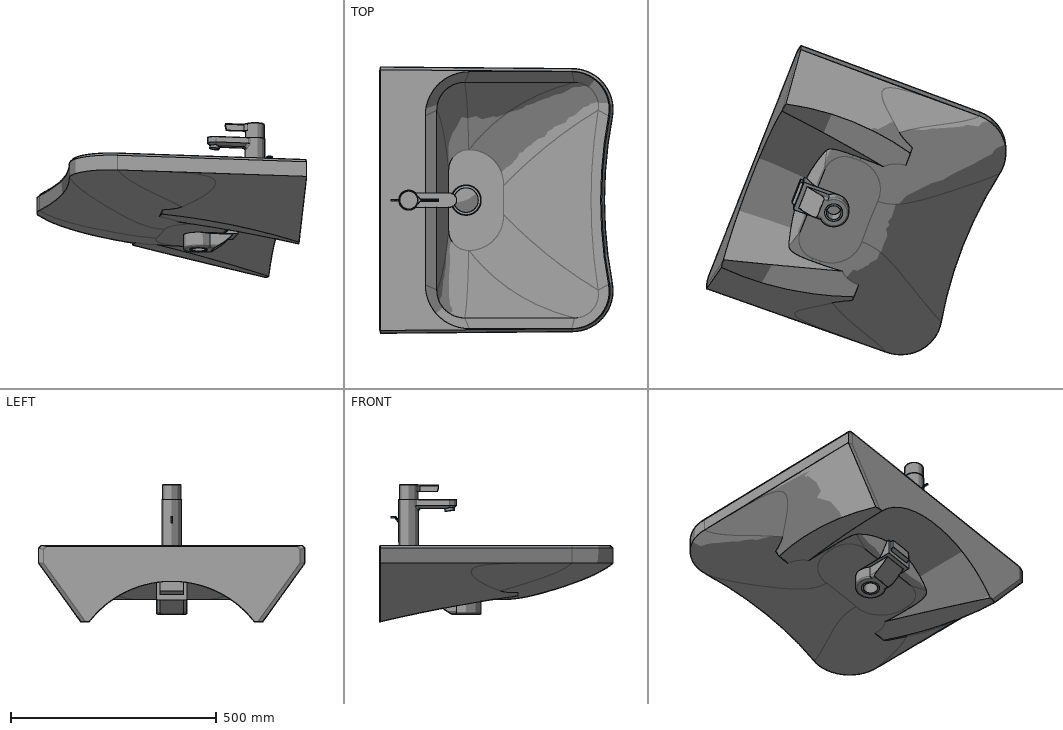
import cadquery as cq
import math


width = 649.5
depth = 570.0
front_dip = 21.0
side_taper = 4.0
front_corner_radius = 100.0
slab_height = 43.5
top_edge_bevel = 7.0
wall_edge_setback = 2.5
wall_edge_inset = 12.5

wall_drop = 186.5
foot_half_width = 222.0
arch_radius = 254.5
arch_top_z = -88.0
skirt_middle_x = 178.0
skirt_middle_drop = 149.5
skirt_middle_half_width = 227.5
skirt_end_x = 338.0
skirt_end_drop = 123.5
skirt_end_half_width = 195.0

rim_drop = 17.5
bowl_depth = 119.0
bowl_mid_depth = 65.0

drain_x = 211.0
outlet_diameter = 74.0
outlet_bottom_z = -168.0
outlet_edge_round = 4.0
waste_flange_diameter = 71.5
waste_flange_height = 5.0
waste_tube_diameter = 44.0
waste_bore_diameter = 35.0
plug_diameter = 60.0
plug_edge_height = 2.5
plug_dome_height = 5.0
dish_depth = 2.5
flange_top_z = -bowl_depth - dish_depth

duct_width = 58.5
duct_back_x = 114.0
duct_curve_z = -111.0
duct_foot_x = 177.5
duct_top_z = -84.5
duct_bulge = 4.0
duct_edge_round = 6.5
outlet_block_back_x = 120.0
outlet_block_bottom_z = -133.0

tap_x = 71.5
tap_diameter = 49.0
tap_height = 111.0
head_diameter = 46.0
tap_top_z = 148.0
head_edge_chamfer = 1.0

spout_width = 35.0
spout_tip_x = 188.5
spout_bottom_z = 89.5
spout_bottom_chamfer = 8.0
spout_root_round = 6.5

aerator_diameter = 23.5
aerator_tilt = 8.0
aerator_drop = 6.0
aerator_seat_depth = 6.5

lever_tip_x = 144.0
lever_width = 6.5
lever_height = 17.0
lever_top_z = 147.5
lever_root_half_width = 12.0
lever_root_length = 8.0
lever_top_chamfer = 2.5
lever_tip_setback = 10.0
lever_tip_height = 2.5

rod_diameter = 4.0
rod_tip_x = 28.0
rod_bend_x = 39.0
rod_z = 68.0
rod_end_x = 52.0
rod_end_z = 52.0


def front_edge(sketch, front, half_width, dip, radius):
    """Add the front corner, the hollow front arc and the other front corner."""
    corner_x = front - radius
    corner_y = half_width - radius
    bow_radius = ((radius - dip) ** 2 + corner_y**2 - radius**2) / (2 * dip)
    slope = math.asin(corner_y / (bow_radius + radius))
    end_x = corner_x + radius * math.cos(slope)
    end_y = corner_y - radius * math.sin(slope)
    half_turn = (math.pi / 2 - slope) / 2
    mid_x = corner_x + radius * math.cos(half_turn)
    mid_y = corner_y + radius * math.sin(half_turn)
    return (
        sketch.lineTo(corner_x, half_width)
        .threePointArc((mid_x, mid_y), (end_x, end_y))
        .threePointArc((front - dip, 0), (end_x, -end_y))
        .threePointArc((mid_x, -mid_y), (corner_x, -half_width))
    )


def bowl_section(z, back, back_radius, front, half_width, dip, radius):
    """Closed wire with round back corners and a hollow front, at height z."""
    straight = half_width - back_radius
    inset = back_radius * (1 - math.sqrt(0.5))
    sketch = (
        cq.Workplane("XY", origin=(0, 0, z))
        .moveTo(back, -straight)
        .lineTo(back, straight)
        .threePointArc((back + inset, half_width - inset), (back + back_radius, half_width))
    )
    sketch = front_edge(sketch, front, half_width, dip, radius)
    return (
        sketch.lineTo(back + back_radius, -half_width)
        .threePointArc((back + inset, inset - half_width), (back, -straight))
        .wire()
        .val()
    )


def loft(sections, ruled=False):
    return cq.Workplane(cq.Solid.makeLoft(sections, ruled))


def cylinder(diameter, bottom_z, top_z, x):
    return cq.Workplane("XY", origin=(x, 0, bottom_z)).circle(diameter / 2).extrude(top_z - bottom_z)


def make_slab():
    sketch = (
        cq.Workplane("XY", origin=(0, 0, -slab_height))
        .moveTo(wall_edge_setback, -width / 2)
        .lineTo(wall_edge_setback, width / 2)
    )
    sketch = front_edge(sketch, depth, width / 2 - side_taper, front_dip, front_corner_radius)
    slab = sketch.close().extrude(slab_height)
    return slab.faces(">Z").edges("not <X").chamfer(top_edge_bevel)


def upright_section(x, right_side):
    """Closed wire in the plane at x, from its (y, z) points on the +Y side and their mirror images."""
    left_side = [(-y, z) for y, z in reversed(right_side)]
    return cq.Workplane("YZ", origin=(x, 0, 0)).polyline(right_side + left_side).close().wire().val()


def make_wall_face():
    """Thin layer against the wall whose top and side edges are bevelled."""

    def outline(inset, top_z):
        half_width = width / 2 - inset
        return [
            (half_width - top_edge_bevel, top_z),
            (half_width, top_z - top_edge_bevel),
            (half_width, -slab_height),
            (foot_half_width - inset, -wall_drop),
        ]

    wall = upright_section(0, outline(wall_edge_inset, -wall_edge_setback))
    front = upright_section(wall_edge_setback, outline(0, 0))
    return loft([wall, front], ruled=True)


def make_skirt():
    """Two feet that taper from the wall forward into the bowl, with an arch between them."""
    sections = [
        (wall_edge_setback, width / 2, foot_half_width, wall_drop),
        (skirt_middle_x, width / 2 - side_taper / 2, skirt_middle_half_width, skirt_middle_drop),
        (skirt_end_x, width / 2 - side_taper, skirt_end_half_width, skirt_end_drop),
    ]
    feet = loft(
        [
            upright_section(x, [(top_half_width, -slab_height), (foot, -drop)])
            for x, top_half_width, foot, drop in sections
        ]
    )
    arch = (
        cq.Workplane("YZ")
        .center(0, arch_top_z - arch_radius)
        .circle(arch_radius)
        .extrude(skirt_end_x)
    )
    return make_wall_face().union(feet).cut(arch)


def make_shell():
    """Outside of the bowl, narrowing from the slab down to its floor."""
    return loft(
        [
            bowl_section(-slab_height, 91, 52, depth, width / 2 - side_taper, front_dip, front_corner_radius),
            bowl_section(-67.5, 110.5, 58.5, 533, 297.5, 16.0, 104),
            bowl_section(-97.0, 130, 65, 461, 260, 10.0, 117),
            bowl_section(-122.0, 143, 65, 377, 201.5, 4.0, 117),
            bowl_section(-132.5, 156, 52, 305.5, 136.5, 1.0, 78),
        ]
    )


def cut_bowl(body):
    """Cut the sloping rim, then the hollow below it."""
    lip = bowl_section(-rim_drop, 139.5, 68.0, 534.0, 287.0, 18.0, 58.5)
    rim = loft([bowl_section(0, 112.0, 107.0, 560.0, 313.0, front_dip, 91), lip], ruled=True)
    hollow = loft(
        [
            lip,
            bowl_section(-bowl_mid_depth, 151.0, 62.0, 451.5, 250.0, 8.0, 78),
            bowl_section(-bowl_depth, 169, 49.0, 303.0, 123.0, 0.5, 84.5),
        ]
    )
    return body.cut(rim).cut(hollow)


def make_outlet():
    """Round outlet under the drain, with a square block behind it that joins the bowl."""
    outlet = cylinder(outlet_diameter, outlet_bottom_z, -bowl_depth, drain_x)
    outlet = outlet.faces("<Z").edges().fillet(outlet_edge_round)
    block = cq.Workplane("XY").box(
        drain_x - outlet_block_back_x,
        outlet_diameter,
        duct_top_z - outlet_block_bottom_z,
        centered=(False, True, False),
    )
    return outlet.union(block.translate((outlet_block_back_x, 0, outlet_block_bottom_z)))


def make_duct():
    """Overflow duct that curves forward into the outlet at its foot."""
    bulge_x = (duct_back_x + duct_foot_x) / 2 - duct_bulge
    bulge_z = (duct_curve_z + outlet_bottom_z) / 2 - duct_bulge
    duct = (
        cq.Workplane("XZ", origin=(0, duct_width / 2, 0))
        .moveTo(drain_x, duct_top_z)
        .lineTo(duct_back_x, duct_top_z)
        .lineTo(duct_back_x, duct_curve_z)
        .threePointArc((bulge_x, bulge_z), (duct_foot_x, outlet_bottom_z))
        .lineTo(drain_x, outlet_bottom_z)
        .close()
        .extrude(duct_width)
    )
    return duct.faces("<Z").edges("|X").fillet(duct_edge_round)


def drain_space():
    """Bore of the waste tube, and the shallow conical dish around its flange."""
    dish = (
        cq.Workplane("XZ", origin=(drain_x, 0, 0))
        .moveTo(0, -bowl_depth)
        .lineTo(outlet_diameter / 2, -bowl_depth)
        .lineTo(waste_flange_diameter / 2, flange_top_z)
        .lineTo(0, flange_top_z)
        .close()
        .revolve(360, (0, 0, 0), (0, 1, 0))
    )
    return dish.union(cylinder(waste_bore_diameter, outlet_bottom_z, flange_top_z, drain_x))


def make_basin(waste, plug):
    body = make_slab().union(make_skirt()).union(make_shell())
    body = body.union(make_outlet()).union(make_duct())
    body = cut_bowl(body)
    return body.cut(drain_space()).cut(waste).cut(plug)


def make_waste():
    """Flanged tube in the outlet, with a seat for the plug."""
    flange_bottom_z = flange_top_z - waste_flange_height
    flange = cylinder(waste_flange_diameter, flange_bottom_z, flange_top_z, drain_x)
    tube = cylinder(waste_tube_diameter, outlet_bottom_z, flange_bottom_z, drain_x)
    bore = cylinder(waste_bore_diameter, outlet_bottom_z, flange_top_z, drain_x)
    seat = cylinder(plug_diameter, flange_top_z - plug_edge_height, flange_top_z, drain_x)
    return flange.union(tube).cut(bore).cut(seat)


def make_plug():
    """Domed disc lying in the seat of the waste flange."""
    radius = plug_diameter / 2
    crown_z = flange_top_z + plug_dome_height
    dome_radius = (radius**2 + plug_dome_height**2) / (2 * plug_dome_height)
    half_angle = math.asin(radius / dome_radius) / 2
    shoulder = (
        dome_radius * math.sin(half_angle),
        crown_z - dome_radius * (1 - math.cos(half_angle)),
    )
    return (
        cq.Workplane("XZ", origin=(drain_x, 0, 0))
        .moveTo(0, flange_top_z - plug_edge_height)
        .lineTo(radius, flange_top_z - plug_edge_height)
        .lineTo(radius, flange_top_z)
        .threePointArc(shoulder, (0, crown_z))
        .close()
        .revolve(360, (0, 0, 0), (0, 1, 0))
    )


def make_spout():
    tip_radius = spout_width / 2
    tip_centre_x = spout_tip_x - tip_radius
    spout = (
        cq.Workplane("XY", origin=(0, 0, spout_bottom_z))
        .moveTo(tap_x, -tip_radius)
        .lineTo(tip_centre_x, -tip_radius)
        .threePointArc((spout_tip_x, 0), (tip_centre_x, tip_radius))
        .lineTo(tap_x, tip_radius)
        .close()
        .extrude(tap_height - spout_bottom_z)
    )
    return spout.faces("<Z").edges("not <X").chamfer(spout_bottom_chamfer)


def make_tap(aerator, rod):
    """Tap body with its spout, hollowed where the aerator and the rod sit."""
    tap = cylinder(tap_diameter, 0, tap_height, tap_x).union(make_spout())
    root = cq.selectors.BoxSelector(
        (tap_x + 3.0, -spout_width, spout_bottom_z - 3.0),
        (tap_x + tap_diameter / 2 + 1.0, spout_width, tap_height - 0.5),
    )
    tap = tap.edges(root).fillet(spout_root_round)
    return tap.cut(aerator).cut(rod)


def make_aerator():
    """Short cylinder under the spout tip, leaning so that its mouth faces slightly forward."""
    tip_centre_x = spout_tip_x - spout_width / 2
    aerator = (
        cq.Workplane("XY", origin=(tip_centre_x, 0, spout_bottom_z - aerator_drop))
        .circle(aerator_diameter / 2)
        .extrude(aerator_drop + aerator_seat_depth)
    )
    pivot = (tip_centre_x, 0, spout_bottom_z)
    pivot_end = (tip_centre_x, 1, spout_bottom_z)
    return aerator.rotate(pivot, pivot_end, -aerator_tilt)


def make_lever_head():
    """Cap on the tap body with a thin lever over the spout."""
    cap = cylinder(head_diameter, tap_height, tap_top_z, tap_x)
    cap = cap.faces(">Z").edges().chamfer(head_edge_chamfer)
    root_x = tap_x + math.sqrt((head_diameter / 2) ** 2 - lever_root_half_width**2)
    neck_x = root_x + lever_root_length
    half = lever_width / 2
    lever = (
        cq.Workplane("XY", origin=(0, 0, lever_top_z - lever_height))
        .polyline(
            [
                (tap_x, -lever_root_half_width),
                (root_x, -lever_root_half_width),
                (neck_x, -half),
                (lever_tip_x, -half),
                (lever_tip_x, half),
                (neck_x, half),
                (root_x, lever_root_half_width),
                (tap_x, lever_root_half_width),
            ]
        )
        .close()
        .extrude(lever_height)
    )
    lever = lever.faces(">Z").edges("|X").chamfer(lever_top_chamfer)
    lever = lever.faces(">X").edges("<Z").chamfer(lever_tip_height, lever_tip_setback)
    return cap.union(lever)


def make_rod():
    """Pop-up rod, level at its tip and bent down into the back of the tap body."""
    path = (
        cq.Workplane("XZ")
        .moveTo(rod_tip_x, rod_z)
        .lineTo(rod_bend_x, rod_z)
        .lineTo(rod_end_x, rod_end_z)
    )
    section = cq.Workplane("YZ", origin=(rod_tip_x, 0, rod_z)).circle(rod_diameter / 2)
    return section.sweep(path, transition="round")


waste = make_waste()
plug = make_plug()
aerator = make_aerator()
rod = make_rod()
tap = make_tap(aerator, rod)
lever_head = make_lever_head()
basin = make_basin(waste, plug)

result = cq.Compound.makeCompound(
    [
        basin.val(),
        waste.val(),
        plug.val(),
        tap.val(),
        aerator.val(),
        lever_head.val(),
        rod.val(),
    ]
)